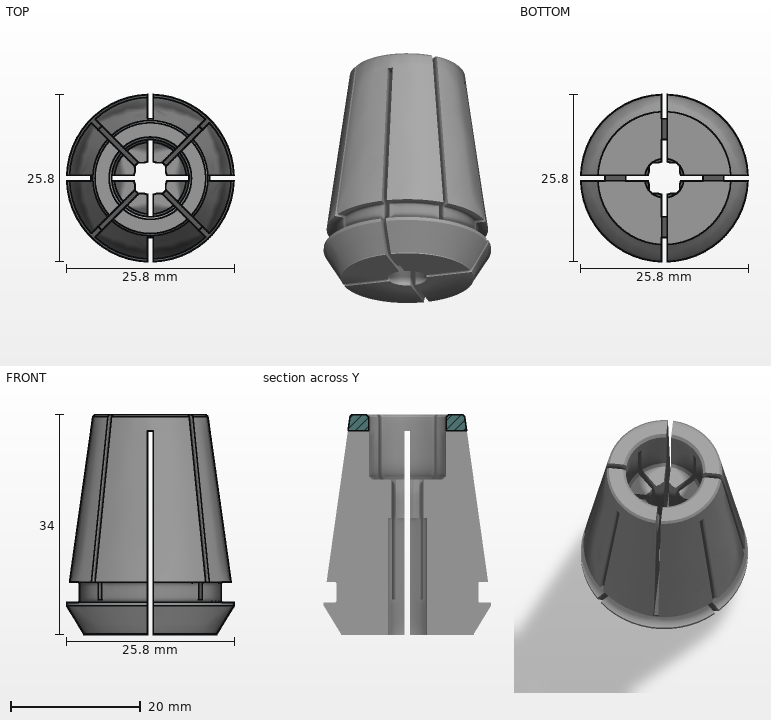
import cadquery as cq
import math

LENGTH = 34.0

BASE_RADIUS = 10.27
BASE_LAND_HEIGHT = 0.15
FLANGE_RADIUS = 12.92
FLANGE_RIM_BOTTOM = 4.5
FLANGE_TOP = 5.0

GROOVE_RADIUS = 10.98
GROOVE_CORNER_RADIUS = 0.2

TAPER_BOTTOM = 8.13
TAPER_BOTTOM_RADIUS = 12.48
TAPER_HALF_ANGLE = 8.0
TOP_CHAMFER = 0.35

SHANK_RADIUS = 3.03
SHANK_DEPTH = 18.02
SQUARE_WIDTH = 4.73
SQUARE_RELIEF_RADIUS = 2.55
CLEARANCE_FLOOR = 24.0
CLEARANCE_RADIUS = 5.95
BORE_CHAMFER = 0.4

SLOT_WIDTH = 0.8
SLOT_LENGTH = 2.2 * FLANGE_RADIUS
LOWER_SLOT_TOP = 31.45
UPPER_SLOT_BOTTOM = 5.4


def collet_body():
    """Revolve the outer profile: flange cone, groove and clamping taper."""
    taper_height = LENGTH - TOP_CHAMFER - TAPER_BOTTOM
    taper_top_radius = TAPER_BOTTOM_RADIUS - taper_height * math.tan(math.radians(TAPER_HALF_ANGLE))
    fillet_radius = GROOVE_RADIUS + GROOVE_CORNER_RADIUS
    return (
        cq.Workplane("XZ")
        .lineTo(BASE_RADIUS, 0)
        .lineTo(BASE_RADIUS, BASE_LAND_HEIGHT)
        .lineTo(FLANGE_RADIUS, FLANGE_RIM_BOTTOM)
        .lineTo(FLANGE_RADIUS, FLANGE_TOP)
        .lineTo(fillet_radius, FLANGE_TOP)
        .radiusArc((GROOVE_RADIUS, FLANGE_TOP + GROOVE_CORNER_RADIUS), GROOVE_CORNER_RADIUS)
        .lineTo(GROOVE_RADIUS, TAPER_BOTTOM - GROOVE_CORNER_RADIUS)
        .radiusArc((fillet_radius, TAPER_BOTTOM), GROOVE_CORNER_RADIUS)
        .lineTo(TAPER_BOTTOM_RADIUS, TAPER_BOTTOM)
        .lineTo(taper_top_radius, LENGTH - TOP_CHAMFER)
        .lineTo(taper_top_radius - TOP_CHAMFER, LENGTH)
        .lineTo(0, LENGTH)
        .close()
        .revolve()
    )


def bore():
    """Solid that fills the whole stepped bore."""
    shank_hole = cq.Workplane("XY").circle(SHANK_RADIUS).extrude(SHANK_DEPTH)
    seat_plane = cq.Workplane("XY").workplane(offset=SHANK_DEPTH)
    seat_length = CLEARANCE_FLOOR - SHANK_DEPTH
    square_seat = seat_plane.rect(SQUARE_WIDTH, SQUARE_WIDTH).extrude(seat_length)
    seat_relief = seat_plane.circle(SQUARE_RELIEF_RADIUS).extrude(seat_length)
    clearance = (
        cq.Workplane("XZ")
        .moveTo(0, CLEARANCE_FLOOR)
        .lineTo(CLEARANCE_RADIUS - BORE_CHAMFER, CLEARANCE_FLOOR)
        .lineTo(CLEARANCE_RADIUS, CLEARANCE_FLOOR + BORE_CHAMFER)
        .lineTo(CLEARANCE_RADIUS, LENGTH - BORE_CHAMFER)
        .lineTo(CLEARANCE_RADIUS + BORE_CHAMFER, LENGTH)
        .lineTo(0, LENGTH)
        .close()
        .revolve()
    )
    return shank_hole.union(square_seat).union(seat_relief).union(clearance)


def crossed_slots(first_angle, bottom, top):
    """Two full-width slots at right angles, crossing on the axis."""
    slot = (
        cq.Workplane("XY")
        .workplane(offset=bottom)
        .rect(SLOT_LENGTH, SLOT_WIDTH)
        .extrude(top - bottom)
        .rotate((0, 0, 0), (0, 0, 1), first_angle)
    )
    return slot.union(slot.rotate((0, 0, 0), (0, 0, 1), 90))


lower_slots = crossed_slots(0, 0, LOWER_SLOT_TOP)
upper_slots = crossed_slots(45, UPPER_SLOT_BOTTOM, LENGTH)
result = collet_body().cut(bore()).cut(lower_slots).cut(upper_slots)